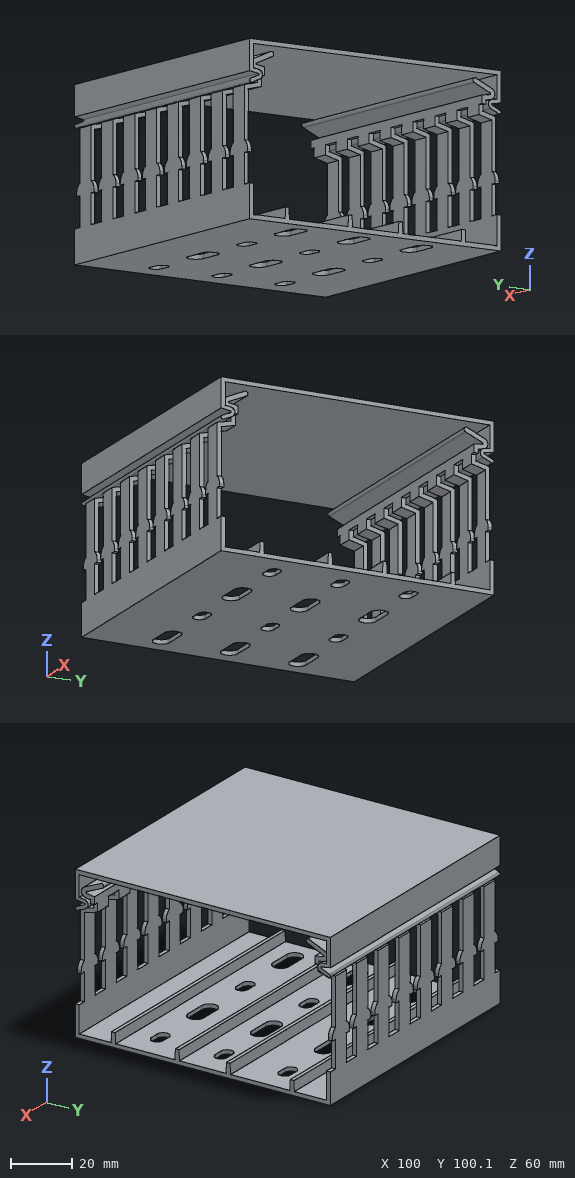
import cadquery as cq
import math

length = 100.0
width = 100.1
height = 60.0
wall = 1.6
half_width = width / 2

leg_slope = math.radians(9)
lip_slope = math.radians(24)
leg_normal = math.pi / 2 - leg_slope
lip_normal = lip_slope - math.pi / 2
bend_inner_radius = 0.25
fit_gap = 0.1

shoulder_bottom = 45.0
shoulder_rise = 1.3
web_inset = 5.2
rim_thickness = 1.7
rim_bend_height = 52.1
rim_tip_inset = 10.4
rim_setback = 1.2

lid_fold_thickness = 1.4
lid_bend_height = 48.3
lid_tip_inset = 0.0

finger_count = 8
finger_pitch = length / finger_count
slot_width = 6.0
slot_bottom = 12.0
slot_top = 48.4

barb_reach = 1.8
barb_bottom = 22.5
barb_edge_height = 0.9
barb_top = 26.7

rib_places = (-35.0, -10.0, 10.0, 35.0)
rib_top = 5.5
rib_top_width = 1.4
rib_base_width = 1.8

row_count = 4
row_pitch = length / row_count
floor_slot_spacing = width / 4
long_slot = (14.0, 6.0)
short_slot = (8.0, 4.5)


def side_point(inset, z):
    """Point of the YZ section, a distance in from the +Y outer side."""
    return (half_width - inset, z)


def extrude_both_halves(section):
    """Extrude a +Y half section along the duct and join it to its mirror image."""
    half = section.close().extrude(length / 2, both=True)
    return half.union(half.mirror("XZ"))


class Fold:
    """Snap fold in the side section; direction is 1 with the bend inwards, -1 with it outwards.

    An outward fold is an inward fold turned half round, so its lip lies above its leg.
    """

    def __init__(self, direction, bend_tip_inset, bend_height, thickness, lip_tip_inset):
        self.direction = direction
        self.outer_radius = bend_inner_radius + thickness
        self.inset = bend_tip_inset - direction * self.outer_radius
        self.height = bend_height
        self.tip_radius = thickness / 2
        reach = direction * (self.inset - lip_tip_inset)
        self.middle_radius = bend_inner_radius + self.tip_radius
        offset = self.middle_radius * math.sin(lip_slope)
        self.lip_length = (reach + offset - self.tip_radius) / math.cos(lip_slope)

    def point(self, radius, angle, along_lip=0.0):
        """Point at a radius and angle about the bend centre, moved along the lip towards its tip."""
        u = radius * math.cos(angle) - along_lip * math.cos(lip_slope)
        v = radius * math.sin(angle) - along_lip * math.sin(lip_slope)
        return side_point(self.inset + self.direction * u, self.height + self.direction * v)

    def leg_point(self, radius, inset):
        """Point at an inset on the leg face that is tangent to a bend radius."""
        rise = (self.inset - inset) * math.tan(leg_slope)
        z = self.height + self.direction * radius / math.cos(leg_slope) + rise
        return side_point(inset, z)

    def tip_point(self):
        """Outermost point of the rounded lip tip, straight along the lip."""
        return self.point(self.middle_radius, lip_normal, self.lip_length + self.tip_radius)

    def draw(self, section, outer_end_inset, inner_end_inset):
        """Draw from the outer leg face round bend and lip, then back along the inner leg face."""
        return (
            section
            .lineTo(*self.leg_point(self.outer_radius, outer_end_inset))
            .lineTo(*self.point(self.outer_radius, leg_normal))
            .threePointArc(self.point(self.outer_radius, 0), self.point(self.outer_radius, lip_normal))
            .lineTo(*self.point(self.outer_radius, lip_normal, self.lip_length))
            .threePointArc(self.tip_point(), self.point(bend_inner_radius, lip_normal, self.lip_length))
            .lineTo(*self.point(bend_inner_radius, lip_normal))
            .threePointArc(self.point(bend_inner_radius, 0), self.point(bend_inner_radius, leg_normal))
            .lineTo(*self.leg_point(bend_inner_radius, inner_end_inset))
        )


def make_lid():
    fold = Fold(1, web_inset - fit_gap, lid_bend_height, lid_fold_thickness, lid_tip_inset)
    section = cq.Workplane("YZ").moveTo(0, height - wall).lineTo(*side_point(wall, height - wall))
    section = fold.draw(section, wall, 0)
    section = section.lineTo(*side_point(0, height)).lineTo(0, height)
    return extrude_both_halves(section)


def make_tray_shell():
    fold = Fold(-1, wall + fit_gap, rim_bend_height, rim_thickness, rim_tip_inset)
    web_inner = web_inset + wall
    shoulder_slope = math.atan2(shoulder_rise, web_inset)
    shoulder_underside = shoulder_bottom - wall / math.cos(shoulder_slope)
    shoulder_start = shoulder_underside + wall * math.tan(shoulder_slope)
    shoulder_end = shoulder_underside + web_inner * math.tan(shoulder_slope)
    section = (
        cq.Workplane("YZ")
        .lineTo(*side_point(0, 0))
        .lineTo(*side_point(0, shoulder_bottom))
        .lineTo(*side_point(web_inset, shoulder_bottom + shoulder_rise))
    )
    section = (
        fold.draw(section, web_inset, web_inner)
        .lineTo(*side_point(web_inner, shoulder_end))
        .lineTo(*side_point(wall, shoulder_start))
        .lineTo(*side_point(wall, wall))
        .lineTo(0, wall)
    )
    return extrude_both_halves(section)


def make_rib(y):
    """Floor rib that narrows slightly towards its top."""
    return (
        cq.Workplane("YZ")
        .moveTo(y - rib_base_width / 2, wall)
        .lineTo(y + rib_base_width / 2, wall)
        .lineTo(y + rib_top_width / 2, rib_top)
        .lineTo(y - rib_top_width / 2, rib_top)
        .close()
        .extrude(length / 2, both=True)
    )


def make_finger_slot():
    """Cutter for one gap between fingers, centred on X = 0, that spares the barbs."""
    gap = (
        cq.Workplane("XY")
        .box(slot_width, width, slot_top - slot_bottom, centered=(True, True, False))
        .translate((0, 0, slot_bottom))
    )
    finger_edge = -slot_width / 2
    barb = (
        cq.Workplane("XZ")
        .moveTo(finger_edge, barb_bottom)
        .lineTo(finger_edge + barb_reach, barb_bottom)
        .lineTo(finger_edge + barb_reach, barb_bottom + barb_edge_height)
        .tangentArcPoint((finger_edge, barb_top), relative=False)
        .close()
        .extrude(half_width, both=True)
    )
    return gap.cut(barb).cut(barb.mirror("YZ"))


def make_rim_trim():
    """Cutter, centred on X = 0, that sets the rim above the finger slots back from a duct end."""
    return (
        cq.Workplane("XY")
        .box(2 * rim_setback, width, height - slot_top, centered=(True, True, False))
        .translate((0, 0, slot_top))
    )


def make_floor_slots(row):
    """Cutters for one row of three round-ended slots across the floor."""
    size = long_slot if row % 2 == 0 else short_slot
    x = (row + 0.5) * row_pitch - length / 2
    places = [(x, -floor_slot_spacing), (x, 0), (x, floor_slot_spacing)]
    return cq.Workplane("XY").pushPoints(places).slot2D(*size).extrude(wall)


def make_tray():
    tray = make_tray_shell()
    for y in rib_places:
        tray = tray.union(make_rib(y))
    finger_slot = make_finger_slot()
    for index in range(finger_count + 1):
        tray = tray.cut(finger_slot.translate((index * finger_pitch - length / 2, 0, 0)))
    rim_trim = make_rim_trim()
    for duct_end in (-length / 2, length / 2):
        tray = tray.cut(rim_trim.translate((duct_end, 0, 0)))
    for row in range(row_count):
        tray = tray.cut(make_floor_slots(row))
    return tray


tray = make_tray()
lid = make_lid()
result = cq.Compound.makeCompound([tray.solids().val(), lid.solids().val()])